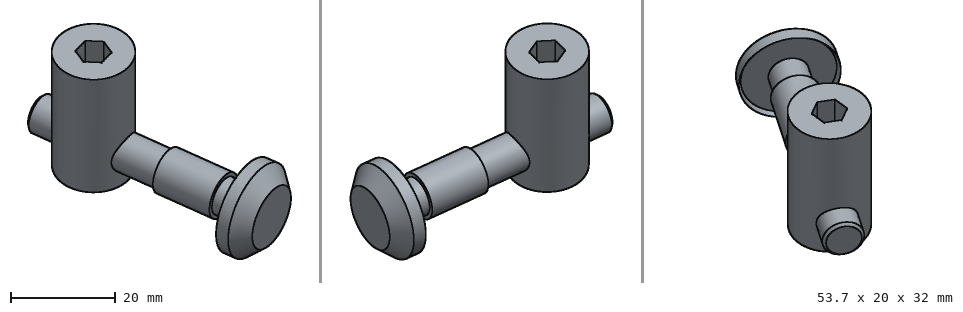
import cadquery as cq
import math

screw_length = 53.7
shank_diameter = 8.2
shoulder_diameter = 9.7
neck_diameter = 8.0
shoulder_start = 29.65
shoulder_end = 42.65
tip_chamfer_length = 0.6
tip_chamfer_width = 0.6

head_diameter = 20.0
head_end_diameter = 13.3
head_start = 47.6
rim_end = 50.35
dish_depth = 1.0
dish_taper = 0.6

barrel_diameter = 16.0
barrel_height = 29.0
barrel_x = 12.75
barrel_bottom = -7.0
barrel_top = barrel_bottom + barrel_height
hex_across_flats = 6.0
hex_depth = 6.0


def make_screw():
    """Revolve the stepped half outline of the screw about the X axis."""
    shank_radius = shank_diameter / 2
    shoulder_radius = shoulder_diameter / 2
    neck_radius = neck_diameter / 2
    head_radius = head_diameter / 2
    dish_floor = head_start + dish_depth
    outline = [
        (0, 0),
        (0, shank_radius - tip_chamfer_width),
        (tip_chamfer_length, shank_radius),
        (shoulder_start, shank_radius),
        (shoulder_start, shoulder_radius),
        (shoulder_end, shoulder_radius),
        (shoulder_end, neck_radius),
        (dish_floor, neck_radius),
        (dish_floor, head_radius - dish_taper),
        (head_start, head_radius),
        (rim_end, head_radius),
        (screw_length, head_end_diameter / 2),
        (screw_length, 0),
    ]
    profile = cq.Workplane("XY").polyline(outline).close()
    return profile.revolve(360, (0, 0, 0), (1, 0, 0))


def make_barrel():
    """Solid upright cylinder standing across the screw axis."""
    base = cq.Workplane("XY", origin=(barrel_x, 0, barrel_bottom))
    return base.circle(barrel_diameter / 2).extrude(barrel_height)


def make_hex_socket():
    """Hexagonal cutter with two flats square to the X axis."""
    across_corners = hex_across_flats / math.cos(math.pi / 6)
    top = cq.Workplane("XY", origin=(barrel_x, 0, barrel_top))
    hexagon = top.transformed(rotate=(0, 0, 90)).polygon(6, across_corners)
    return hexagon.extrude(-hex_depth)


result = make_barrel().union(make_screw()).cut(make_hex_socket())